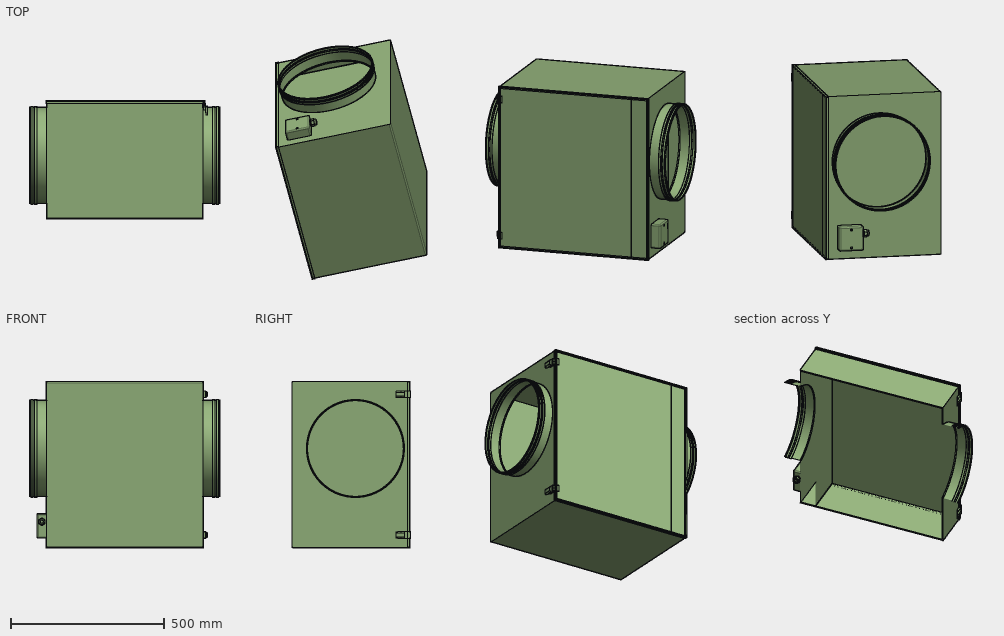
import cadquery as cq

housing_width = 509.5
housing_height = 543.0
housing_front_y = -193.5
side_wall = 4.5
partition_thickness = 2.0
outer_wall = 6.0
fold_radius = 5.0
chamber_depth = 55.0

lid_sheet = 2.5
lid_depth = 9.0
lid_back_y = 192.0

overall_width = 620.0
spigot_radius = 157.5
spigot_wall = 1.0
spigot_y = 13.5
spigot_z = 53.0
bead_height = 2.5
bead_width = 7.5
bead_offsets = (7.5, 20.0)

junction_size = 80.5
junction_depth = 31.5
junction_y = 113.0
junction_z = -199.5
junction_fillet = 4.5

screw_radius = 3.0
screw_length = 6.0
screw_spacing = 59.5

gland_x = -270.5
gland_z = -186.0
gland_neck_radius = 10.0
gland_neck_length = 4.0
gland_nut_across_corners = 25.0
gland_nut_length = 10.0
gland_dome_radius = 10.0
gland_dome_length = 7.5
gland_dome_fillet = 4.0
gland_bore_radius = 5.0

latch_z = 229.5
latch_height = 22.5
latch_tab_thickness = 1.0
latch_tab_reach = 12.5
latch_strap_thickness = 4.0
latch_block_start_y = 183.5
latch_block_thickness = 5.5
latch_block_end_y = 162.5
handle_end_y = 146.5
handle_start_y = 174.0
handle_thickness = 6.0
handle_taper = 4.0
handle_chamfer = 5.0

lid_rim_y = lid_back_y - lid_depth
housing_back_y = lid_back_y - lid_sheet
wall_x = housing_width / 2
spigot_length = overall_width / 2 - wall_x
spigot_bore_radius = spigot_radius - spigot_wall
lid_edge_x = wall_x + lid_sheet
junction_face_x = -wall_x - junction_depth
junction_front_y = junction_y - junction_size / 2


def box_between(x_range, y_range, z_range):
    """Box spanning the given ranges along the three axes."""
    size = [end - start for start, end in (x_range, y_range, z_range)]
    corner = (x_range[0], y_range[0], z_range[0])
    return cq.Workplane("XY").box(*size, centered=False).translate(corner)


def make_housing_rim():
    """Block that fills the lid tray, lower than the housing by the lid sheet at top and bottom."""
    half_height = housing_height / 2 - lid_sheet
    return box_between((-wall_x, wall_x), (lid_rim_y, housing_back_y), (-half_height, half_height))


def make_housing():
    """Box with rounded front folds, a partition behind the left wall and two duct openings."""
    half_height = housing_height / 2
    inner_x = wall_x - side_wall
    inner_y = (housing_front_y + outer_wall, housing_back_y)
    inner_z = (outer_wall - half_height, half_height - outer_wall)
    partition_x = -wall_x + chamber_depth

    shell = box_between((-wall_x, wall_x), (housing_front_y, lid_rim_y), (-half_height, half_height))
    shell = shell.faces("<Y").edges("|X").fillet(fold_radius)
    shell = shell.union(make_housing_rim())
    inlet_chamber = box_between((-inner_x, partition_x), inner_y, inner_z)
    main_chamber = box_between((partition_x + partition_thickness, inner_x), inner_y, inner_z)
    shell = shell.cut(inlet_chamber).cut(main_chamber)

    opening = cq.Workplane("YZ").center(spigot_y, spigot_z).circle(spigot_bore_radius).extrude(side_wall)
    for opening_x in (-wall_x, inner_x):
        shell = shell.cut(opening.translate((opening_x, 0, 0)))
    return shell


def make_lid():
    """Tray that closes the open back of the housing and wraps round its rim."""
    half_height = housing_height / 2
    panel = box_between((-lid_edge_x, lid_edge_x), (lid_rim_y, lid_back_y), (-half_height, half_height))
    return panel.cut(make_housing_rim())


def make_spigot(side):
    """Beaded tube from the wall to the duct end; side is -1 for left and 1 for right."""
    profile = (
        cq.Workplane("XZ")
        .moveTo(0, spigot_bore_radius)
        .lineTo(spigot_length, spigot_bore_radius)
        .lineTo(spigot_length, spigot_radius)
    )
    for offset in bead_offsets:
        bead_x = spigot_length - offset
        profile = (
            profile.lineTo(bead_x + bead_width / 2, spigot_radius)
            .lineTo(bead_x + bead_width / 2, spigot_radius + bead_height)
            .lineTo(bead_x - bead_width / 2, spigot_radius + bead_height)
            .lineTo(bead_x - bead_width / 2, spigot_radius)
        )
    tube = profile.lineTo(0, spigot_radius).close().revolve(360, (0, 0), (1, 0))
    if side < 0:
        tube = tube.mirror("YZ")
    return tube.translate((side * wall_x, spigot_y, spigot_z))


def make_junction_box():
    """Rounded box with two flush screw holes."""
    half_size = junction_size / 2
    body = box_between(
        (junction_face_x, -wall_x),
        (junction_front_y, junction_y + half_size),
        (junction_z - half_size, junction_z + half_size),
    )
    body = body.edges("<X or |X").fillet(junction_fillet)
    for screw in make_screws():
        body = body.cut(screw)
    return body


def make_screws():
    """Two cover screws, one above the other."""
    screw = cq.Workplane("YZ").circle(screw_radius).extrude(screw_length)
    return [
        screw.translate((junction_face_x, junction_y, junction_z + side * screw_spacing / 2))
        for side in (-1, 1)
    ]


def make_gland():
    """Round neck, hexagonal nut and rounded dome with a blind cable bore."""
    neck = cq.Workplane("XZ").circle(gland_neck_radius).extrude(gland_neck_length)
    nut = neck.faces("<Y").workplane().polygon(6, gland_nut_across_corners).extrude(gland_nut_length)
    dome = nut.faces("<Y").workplane().circle(gland_dome_radius).extrude(gland_dome_length)
    dome = dome.faces("<Y").edges().fillet(gland_dome_fillet)
    gland = dome.faces("<Y").workplane().circle(gland_bore_radius).cutBlind(-gland_dome_length)
    gland = gland.rotate((0, 0, 0), (0, 1, 0), 90)
    return gland.translate((gland_x, junction_front_y, gland_z))


def make_latch(side):
    """Strap hooked round the lid edge, with a tapered handle; side is 1 for upper, -1 for lower."""
    strap_x = lid_edge_x + latch_strap_thickness
    block_x = lid_edge_x + latch_block_thickness
    handle_x = block_x + handle_thickness
    outline = [
        (lid_edge_x - latch_tab_reach, lid_back_y),
        (lid_edge_x - latch_tab_reach, lid_back_y + latch_tab_thickness),
        (strap_x, lid_back_y + latch_tab_thickness),
        (strap_x, latch_block_start_y),
        (block_x, latch_block_start_y),
        (block_x, handle_start_y),
        (handle_x, handle_start_y),
        (handle_x, handle_end_y),
        (handle_x - handle_taper, handle_end_y),
        (block_x, latch_block_end_y),
        (lid_edge_x, latch_block_end_y),
        (lid_edge_x, lid_back_y),
    ]
    latch = cq.Workplane("XY").polyline(outline).close().extrude(latch_height / 2, both=True)
    latch = latch.faces(">X").edges("|Y").chamfer(handle_chamfer)
    return latch.translate((0, 0, side * latch_z))


housing = make_housing()
lid = make_lid()
spigots = [make_spigot(side) for side in (-1, 1)]
junction_box = make_junction_box()
screws = make_screws()
gland = make_gland()
latches = [make_latch(side) for side in (-1, 1)]

bodies = [housing, lid, *spigots, junction_box, *screws, gland, *latches]
result = cq.Compound.makeCompound([body.val() for body in bodies])